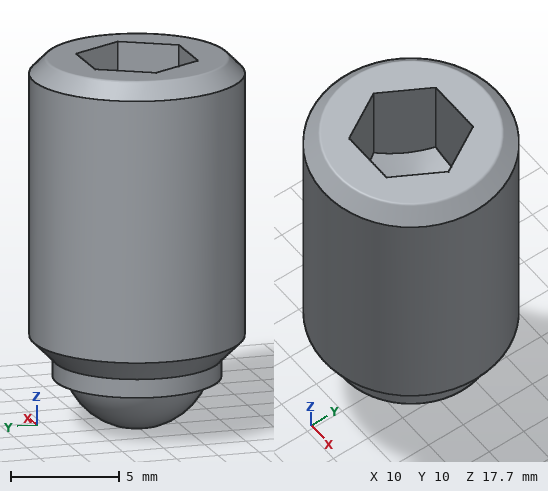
import cadquery as cq
import math

overall_length = 17.7
body_diameter = 10.0
body_radius = body_diameter / 2

ball_radius = 3.5
ball_projection = 2.42
nose_height = 0.88
nose_chamfer = 1.08
nose_radius = body_radius - nose_chamfer

top_chamfer = 0.76
top_edge_round = 0.2

socket_across_flats = body_diameter / 2
socket_wall_depth = 4.42
drill_point_angle = 118.0
hexagon_sides = 6


def make_ball():
    """Ball whose lowest point touches Z = 0."""
    return cq.Workplane("XY").sphere(ball_radius).translate((0, 0, ball_radius))


def make_body_blank():
    """Turned cylinder with a chamfered top and a stepped nose."""
    nose_top = ball_projection + nose_height
    nose_chamfer_top = nose_top + nose_chamfer
    blank = (
        cq.Workplane("XZ")
        .moveTo(0, ball_projection)
        .lineTo(nose_radius, ball_projection)
        .lineTo(nose_radius, nose_top)
        .lineTo(body_radius, nose_chamfer_top)
        .lineTo(body_radius, overall_length - top_chamfer)
        .lineTo(body_radius - top_chamfer, overall_length)
        .lineTo(0, overall_length)
        .close()
        .revolve(360, (0, 0, 0), (0, 1, 0))
    )
    return blank.faces(">Z").edges().fillet(top_edge_round)


def make_socket():
    """Hexagonal cavity, corners on X, ending in a drill-point cone."""
    corner_radius = socket_across_flats / 2 / math.cos(math.pi / hexagon_sides)
    point_depth = corner_radius / math.tan(math.radians(drill_point_angle / 2))
    wall_bottom = overall_length - socket_wall_depth
    point_bottom = wall_bottom - point_depth

    hexagon = (
        cq.Workplane("XY", origin=(0, 0, point_bottom))
        .polygon(hexagon_sides, 2 * corner_radius)
        .extrude(overall_length - point_bottom)
    )
    drilled_hole = (
        cq.Workplane("XZ")
        .moveTo(0, point_bottom)
        .lineTo(corner_radius, wall_bottom)
        .lineTo(corner_radius, overall_length)
        .lineTo(0, overall_length)
        .close()
        .revolve(360, (0, 0, 0), (0, 1, 0))
    )
    return hexagon.intersect(drilled_hole)


ball = make_ball()

body = make_body_blank().cut(make_socket()).cut(ball)

result = cq.Compound.makeCompound([body.solids().val(), ball.val()])